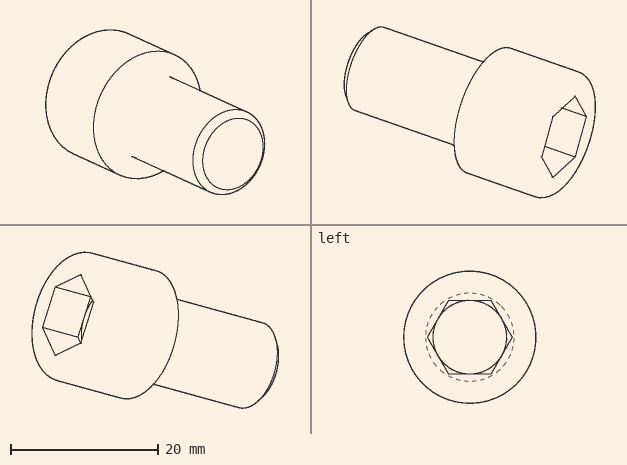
import cadquery as cq
import math

total_length = 32.0
head_length = 12.0
head_diameter = 18.0
head_rounding = 1.2
shank_diameter = 12.0
neck_fillet = 0.58
tip_chamfer = 0.95
socket_across_flats = 10.0
socket_depth = 6.0
socket_cone_angle = 120.0

head_radius = head_diameter / 2
shank_radius = shank_diameter / 2


def make_body():
    """Revolve the half profile of head and shank about the X axis."""
    arc_mid = math.sqrt(0.5)
    profile = (
        cq.Workplane("XY")
        .lineTo(0, head_radius - head_rounding)
        .threePointArc(
            (head_rounding * (1 - arc_mid), head_radius - head_rounding * (1 - arc_mid)),
            (head_rounding, head_radius),
        )
        .lineTo(head_length, head_radius)
        .lineTo(head_length, shank_radius + neck_fillet)
        .threePointArc(
            (head_length + neck_fillet * (1 - arc_mid), shank_radius + neck_fillet * (1 - arc_mid)),
            (head_length + neck_fillet, shank_radius),
        )
        .lineTo(total_length - tip_chamfer, shank_radius)
        .lineTo(total_length, shank_radius - tip_chamfer)
        .lineTo(total_length, 0)
        .close()
    )
    return profile.revolve(360, (0, 0, 0), (1, 0, 0))


def make_socket():
    """Hexagonal socket, corners on the Y axis, ending in a conical drill point."""
    across_corners = socket_across_flats / math.cos(math.radians(30))
    hexagon = cq.Workplane("YZ").polygon(6, across_corners).extrude(socket_depth)
    cone_radius = socket_across_flats / 2
    cone_depth = cone_radius / math.tan(math.radians(socket_cone_angle / 2))
    drill_point = cq.Workplane(
        cq.Solid.makeCone(
            cone_radius, 0, cone_depth, cq.Vector(socket_depth, 0, 0), cq.Vector(1, 0, 0)
        )
    )
    return hexagon.union(drill_point)


result = make_body().cut(make_socket())